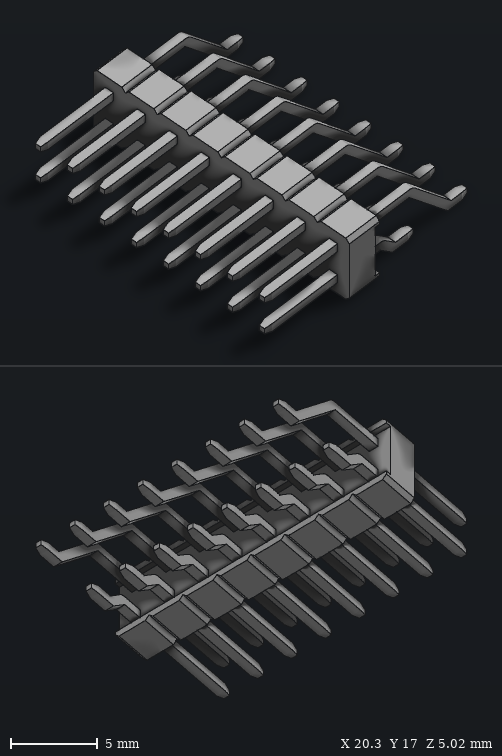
import cadquery as cq
import math


columns = 8
total_length = 20.33
pitch = total_length / columns
housing_depth = 2.55
housing_height = 5.02
notch_depth = 0.28
recess_depth = 0.37
lip_height = 0.53

pin_width = 0.65
tip_length = 0.53
tip_width = 0.43
mating_length = 6.0
lower_row_height = (housing_height - pitch) / 2
upper_row_height = lower_row_height + pitch

upper_bend_y = 6.02
upper_bend_angle = 47.0
upper_foot_end_y = 11.0
lower_bend_y = 3.6
lower_bend_angle = 42.0
lower_foot_end_y = 6.46


def make_cell(center_x):
    """One housing cell, chamfered along its four long edges."""
    return (
        cq.Workplane("XY")
        .box(pitch, housing_depth, housing_height, centered=(True, False, False))
        .edges("|Y")
        .chamfer(notch_depth)
        .translate((center_x, 0, 0))
    )


def make_recess():
    """Cutter for the recess in the rear face."""
    return cq.Workplane("XY").box(
        total_length, recess_depth, housing_height - 2 * lip_height, centered=(True, False, False)
    ).translate((0, housing_depth - recess_depth, lip_height))


def make_tip(base_y, center_z, direction):
    """Tapered pin end that starts at base_y and points along +Y or -Y."""
    base = cq.Plane(origin=(0, base_y, center_z), xDir=(1, 0, 0), normal=(0, direction, 0))
    return (
        cq.Workplane(base)
        .rect(pin_width, pin_width)
        .workplane(offset=tip_length)
        .rect(tip_width, tip_width)
        .loft()
    )


def make_pin(row_height, bend_y, bend_angle, foot_end_y):
    """Pin centred on X = 0: straight front, sloped tail and a foot resting on Z = 0."""
    angle = math.radians(bend_angle)
    front_y = tip_length - mating_length
    foot_y = foot_end_y - tip_length
    top_z = row_height + pin_width / 2
    bottom_z = row_height - pin_width / 2

    arc_mid = (bend_y + pin_width * math.sin(angle / 2), bottom_z + pin_width * math.cos(angle / 2))
    arc_end = (bend_y + pin_width * math.sin(angle), bottom_z + pin_width * math.cos(angle))

    heel_y = bend_y + bottom_z / math.tan(angle)
    instep_y = heel_y + pin_width * math.tan(angle / 2)

    shank = (
        cq.Workplane("YZ")
        .moveTo(front_y, bottom_z)
        .lineTo(front_y, top_z)
        .lineTo(bend_y, top_z)
        .threePointArc(arc_mid, arc_end)
        .lineTo(instep_y, pin_width)
        .lineTo(foot_y, pin_width)
        .lineTo(foot_y, 0)
        .lineTo(heel_y, 0)
        .lineTo(bend_y, bottom_z)
        .close()
        .extrude(pin_width / 2, both=True)
    )
    front_tip = make_tip(front_y, row_height, -1)
    foot_tip = make_tip(foot_y, pin_width / 2, 1)
    return shank.union(front_tip).union(foot_tip)


column_centers = [(column + 0.5) * pitch - total_length / 2 for column in range(columns)]
upper_pin = make_pin(upper_row_height, upper_bend_y, upper_bend_angle, upper_foot_end_y)
lower_pin = make_pin(lower_row_height, lower_bend_y, lower_bend_angle, lower_foot_end_y)

housing = make_cell(column_centers[0])
for x in column_centers[1:]:
    housing = housing.union(make_cell(x))

result = housing.cut(make_recess())
for x in column_centers:
    result = result.union(upper_pin.translate((x, 0, 0)))
    result = result.union(lower_pin.translate((x, 0, 0)))